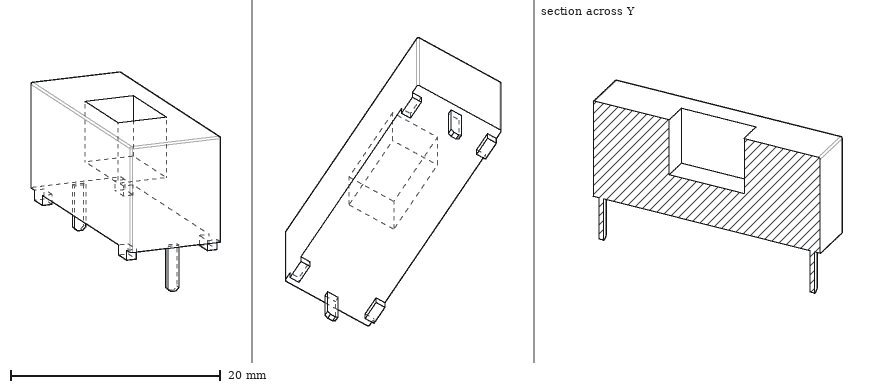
import cadquery as cq

length = 24.4
width = 9.4
total_height = 15.0
body_height = 10.5
edge_radius = 0.2

pocket_length = 8.0
pocket_width = 5.0
pocket_depth = 6.0

foot_length = 2.0
foot_width = 1.0
foot_height = 1.0
foot_end_inset = 0.98

pin_thickness = 0.51
pin_width = 1.17
pin_end_inset = 0.88
pin_length = total_height - body_height
pin_tip_chamfer = 0.32


def make_body():
    """Housing with rounded upright and top edges and an open pocket."""
    body = cq.Workplane("XY").box(length, width, body_height, centered=(True, True, False))
    body = body.edges("|Z or >Z").fillet(edge_radius)
    return body.faces(">Z").workplane().rect(pocket_length, pocket_width).cutBlind(-pocket_depth)


def make_feet():
    """Four feet flush with the long sides of the housing."""
    spacing_x = length - 2 * foot_end_inset - foot_length
    spacing_y = width - foot_width
    return (
        cq.Workplane("XY")
        .rect(spacing_x, spacing_y, forConstruction=True)
        .vertices()
        .rect(foot_length, foot_width)
        .extrude(-foot_height)
    )


def make_pin(x):
    """Pin hanging below the housing, with its tip corners chamfered."""
    pin = cq.Workplane("XY").center(x, 0).rect(pin_thickness, pin_width).extrude(-pin_length)
    return pin.faces("<Z").edges("|X").chamfer(pin_tip_chamfer)


result = make_body().union(make_feet())
pin_offset = length / 2 - pin_end_inset
for pin_x in (-pin_offset, pin_offset):
    result = result.union(make_pin(pin_x))